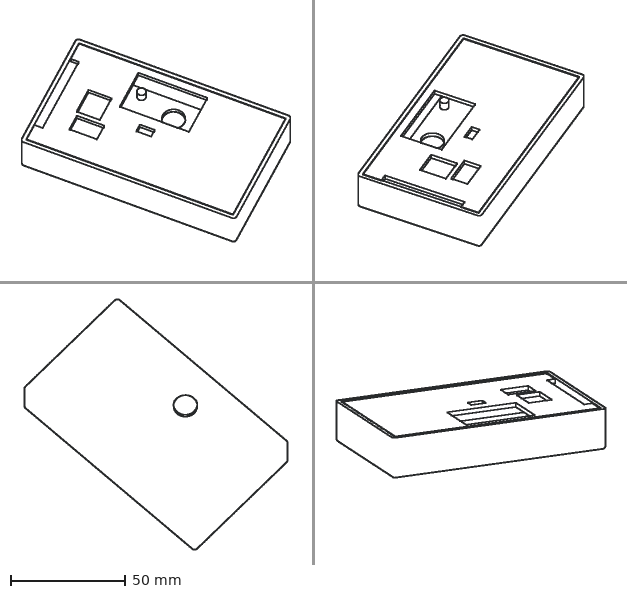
import cadquery as cq

LENGTH = 103.0
WIDTH = 60.5
HEIGHT = 18.7
WALL = 2.0
FLOOR = 2.0
EDGE_RADIUS = 1.5
CAVITY_LENGTH = LENGTH - 2 * WALL
CAVITY_WIDTH = WIDTH - 2 * WALL

FLOOR_HOLE_DIAMETER = 10.4
FLOOR_HOLE_Y = 18.8

COVER_RECESS = 0.4
COVER_THICKNESS = 2.0
COVER_BOTTOM = HEIGHT - COVER_RECESS - COVER_THICKNESS

LARGE_WINDOW = (33.2, 20.0, -2.9, 14.6)
UPPER_LEFT_WINDOW = (11.1, 12.8, -30.1, 0.9)
LOWER_LEFT_WINDOW = (13.2, 8.0, -28.0, -11.4)
SMALL_WINDOW = (7.1, 3.9, -3.9, -2.5)
EDGE_SLOT_WIDTH = 3.9
EDGE_SLOT = (EDGE_SLOT_WIDTH, 38.9, (EDGE_SLOT_WIDTH - CAVITY_LENGTH) / 2, -0.1)
WINDOWS = (LARGE_WINDOW, UPPER_LEFT_WINDOW, LOWER_LEFT_WINDOW, SMALL_WINDOW, EDGE_SLOT)

PEG_DIAMETER = 4.0
PEG_HEIGHT = 3.8
PEG_Y = 24.1
PEG_X_POSITIONS = (-17.7, 22.4)


def make_housing():
    """Box with a square-cornered cavity and one round floor hole."""
    block = (
        cq.Workplane("XY")
        .box(LENGTH, WIDTH, HEIGHT, centered=(True, True, False))
        .edges("|Z or <Z")
        .fillet(EDGE_RADIUS)
    )
    cavity = (
        cq.Workplane("XY")
        .workplane(offset=FLOOR)
        .rect(CAVITY_LENGTH, CAVITY_WIDTH)
        .extrude(HEIGHT - FLOOR)
    )
    floor_hole = (
        cq.Workplane("XY")
        .center(0, FLOOR_HOLE_Y)
        .circle(FLOOR_HOLE_DIAMETER / 2)
        .extrude(FLOOR)
    )
    return block.cut(cavity).cut(floor_hole)


def make_cover():
    """Flat plate that fills the cavity outline, with rectangular windows cut through it."""
    cover_plane = cq.Workplane("XY").workplane(offset=COVER_BOTTOM)
    cover = cover_plane.rect(CAVITY_LENGTH, CAVITY_WIDTH).extrude(COVER_THICKNESS)
    for x_size, y_size, x_centre, y_centre in WINDOWS:
        window = cover_plane.center(x_centre, y_centre).rect(x_size, y_size).extrude(COVER_THICKNESS)
        cover = cover.cut(window)
    return cover


def make_peg(x_position):
    """Plain round peg standing on the housing floor."""
    return (
        cq.Workplane("XY")
        .workplane(offset=FLOOR)
        .center(x_position, PEG_Y)
        .circle(PEG_DIAMETER / 2)
        .extrude(PEG_HEIGHT)
    )


housing = make_housing()
cover = make_cover()
pegs = [make_peg(x_position) for x_position in PEG_X_POSITIONS]

result = cq.Compound.makeCompound([housing.val(), cover.val(), *[peg.val() for peg in pegs]])